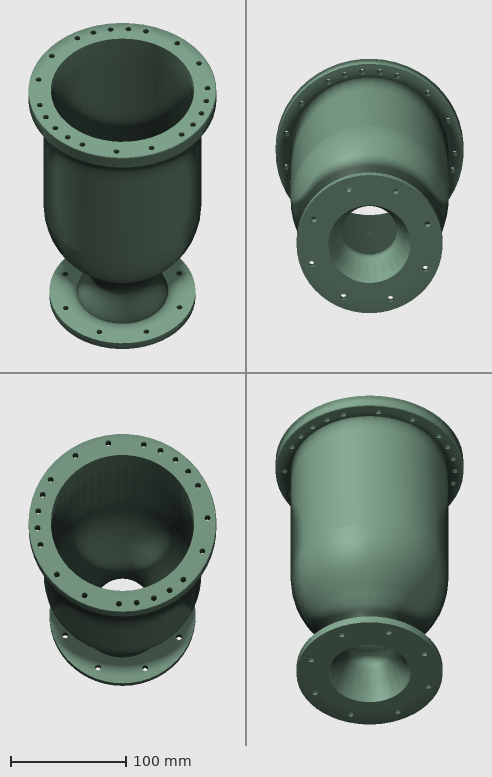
import cadquery as cq
import math

total_height = 258.53
wall = 6.35

chamber_radius = 68.58
dome_center_z = 115.3
dome_end_angle = math.radians(45)

throat_inner_radius = 23.5
throat_z = 35.4
handle_fraction = 0.75
downstream_blend = 11.0
divergence_angle = math.radians(20)

head_flange_diameter = 163.32
head_flange_thickness = 12.7
head_flange_edge_chamfer = 0.6
exit_flange_diameter = 127.0
exit_flange_thickness = 7.2

bolt_hole_diameter = 5.11
head_bolt_circle_radius = 74.0
head_bolt_count = 15
extra_bolt_groups = 3
extra_bolt_offset = 360 / head_bolt_count / 2
exit_bolt_circle_radius = 53.5
exit_bolt_count = 8


def toward(start, corner):
    """Curve handle on the line from an end point to the corner of the end tangents."""
    return (
        start[0] + handle_fraction * (corner[0] - start[0]),
        start[1] + handle_fraction * (corner[1] - start[1]),
    )


def wall_solid(offset):
    """Solid of revolution bounded by the inner wall surface moved outward by offset."""
    throat_radius = throat_inner_radius + offset
    dome_radius = chamber_radius - wall + offset
    downstream_radius = downstream_blend - offset

    def dome_point(angle):
        return (dome_radius * math.cos(angle), dome_center_z - dome_radius * math.sin(angle))

    def downstream_point(angle):
        drop = downstream_radius * math.sin(angle)
        return (throat_radius + downstream_radius * (1 - math.cos(angle)), throat_z - drop)

    cone_start_radius, cone_start_z = downstream_point(divergence_angle)
    exit_radius = cone_start_radius + cone_start_z * math.tan(divergence_angle)

    dome_end = dome_point(dome_end_angle)
    corner_z = dome_end[1] - (dome_end[0] - throat_radius) / math.tan(dome_end_angle)
    dome_handle = toward(dome_end, (throat_radius, corner_z))
    throat_handle = toward((throat_radius, throat_z), (throat_radius, corner_z))

    profile = (
        cq.Workplane("XZ")
        .moveTo(0, total_height)
        .lineTo(dome_radius, total_height)
        .lineTo(dome_radius, dome_center_z)
        .threePointArc(dome_point(dome_end_angle / 2), dome_point(dome_end_angle))
        .bezier([dome_end, dome_handle, throat_handle, (throat_radius, throat_z)])
        .threePointArc(downstream_point(divergence_angle / 2), (cone_start_radius, cone_start_z))
        .lineTo(exit_radius, 0)
        .lineTo(0, 0)
        .close()
    )
    return profile.revolve(360, (0, 0), (0, 1))


def head_flange():
    base_z = total_height - head_flange_thickness
    disc = cq.Workplane("XY").workplane(offset=base_z)
    disc = disc.circle(head_flange_diameter / 2).extrude(head_flange_thickness)
    return disc.edges().chamfer(head_flange_edge_chamfer)


def exit_flange():
    return cq.Workplane("XY").circle(exit_flange_diameter / 2).extrude(exit_flange_thickness)


def bolt_holes(angles, circle_radius, base_z, depth):
    """Vertical bolt hole cutters at the given angles in degrees."""
    centers = []
    for angle in angles:
        turn = math.radians(angle)
        centers.append((circle_radius * math.cos(turn), circle_radius * math.sin(turn)))
    plane = cq.Workplane("XY").workplane(offset=base_z)
    return plane.pushPoints(centers).circle(bolt_hole_diameter / 2).extrude(depth)


def head_bolt_angles():
    """Evenly spaced bolts, plus a pair of extra bolts flanking every third of a turn."""
    angles = [360 / head_bolt_count * i for i in range(head_bolt_count)]
    for group in range(extra_bolt_groups):
        middle = 360 / extra_bolt_groups * group
        angles.append(middle - extra_bolt_offset)
        angles.append(middle + extra_bolt_offset)
    return angles


exit_bolt_angles = [360 / exit_bolt_count * i for i in range(exit_bolt_count)]

body = wall_solid(wall).union(head_flange()).union(exit_flange())
body = body.cut(wall_solid(0))
body = body.cut(
    bolt_holes(
        head_bolt_angles(),
        head_bolt_circle_radius,
        total_height - head_flange_thickness,
        head_flange_thickness,
    )
)
result = body.cut(
    bolt_holes(exit_bolt_angles, exit_bolt_circle_radius, 0, exit_flange_thickness)
)